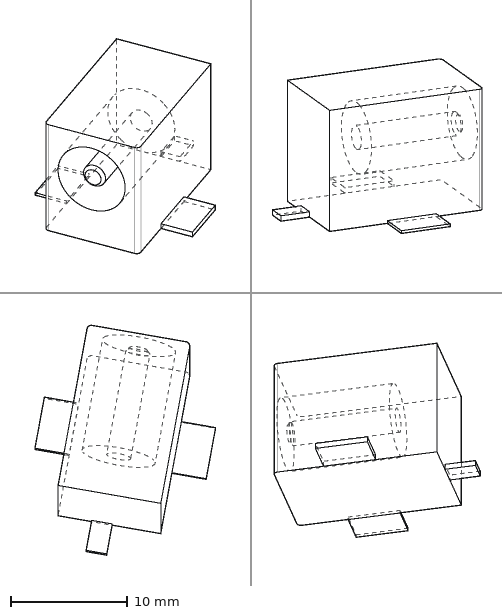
import cadquery as cq

HOUSING_WIDTH = 9.0
HOUSING_HEIGHT = 11.0
OVERALL_LENGTH = 17.2
TAIL_LENGTH = 2.7
HOUSING_LENGTH = OVERALL_LENGTH - TAIL_LENGTH
FRONT_EDGE_RADIUS = 0.4

SOCKET_DIAMETER = 6.4
SOCKET_HEIGHT = 6.55
SOCKET_DEPTH = 9.98

PIN_DIAMETER = 2.1
PIN_SETBACK = 0.3
PIN_CHAMFER = 0.3

OVERALL_WIDTH = 15.0
SIDE_TAB_REACH = (OVERALL_WIDTH - HOUSING_WIDTH) / 2
SIDE_TAB_LENGTH = 4.61
SIDE_TAB_START = 4.45
THIN_TAB_THICKNESS = 0.25
THICK_TAB_THICKNESS = 0.5
TAIL_WIDTH = 1.8
TAIL_OFFSET = 0.65


def front_cylinder(diameter, start, length):
    """Cylinder on the socket axis, running along +Y from Y = start."""
    return (
        cq.Workplane("XZ", origin=(0, start, SOCKET_HEIGHT))
        .circle(diameter / 2)
        .extrude(-length)
    )


def make_housing():
    """Block with rounded upright front edges and a blind socket."""
    block = (
        cq.Workplane("XY")
        .box(HOUSING_WIDTH, HOUSING_LENGTH, HOUSING_HEIGHT, centered=(True, False, False))
        .edges("|Z and <Y")
        .fillet(FRONT_EDGE_RADIUS)
    )
    return block.cut(front_cylinder(SOCKET_DIAMETER, 0, SOCKET_DEPTH))


def make_pin():
    """Round pin with a chamfered tip, ending on the socket floor."""
    pin = front_cylinder(PIN_DIAMETER, PIN_SETBACK, SOCKET_DEPTH - PIN_SETBACK)
    return pin.faces("<Y").chamfer(PIN_CHAMFER)


def make_side_tab(side, thickness):
    """Tab against the left (side = -1) or right (side = 1) housing wall."""
    center_x = side * (HOUSING_WIDTH + SIDE_TAB_REACH) / 2
    return (
        cq.Workplane("XY")
        .box(SIDE_TAB_REACH, SIDE_TAB_LENGTH, thickness, centered=(True, False, False))
        .translate((center_x, SIDE_TAB_START, 0))
    )


def make_tail():
    """Tab against the rear housing wall, offset to one side."""
    return (
        cq.Workplane("XY")
        .box(TAIL_WIDTH, TAIL_LENGTH, THICK_TAB_THICKNESS, centered=(True, False, False))
        .translate((TAIL_OFFSET, HOUSING_LENGTH, 0))
    )


housing = make_housing()
pin = make_pin()
side_tabs = [
    make_side_tab(side, thickness)
    for side, thickness in ((-1, THIN_TAB_THICKNESS), (1, THICK_TAB_THICKNESS))
]
tail = make_tail()

result = cq.Compound.makeCompound(
    [housing.val(), pin.val(), *[tab.val() for tab in side_tabs], tail.val()]
)